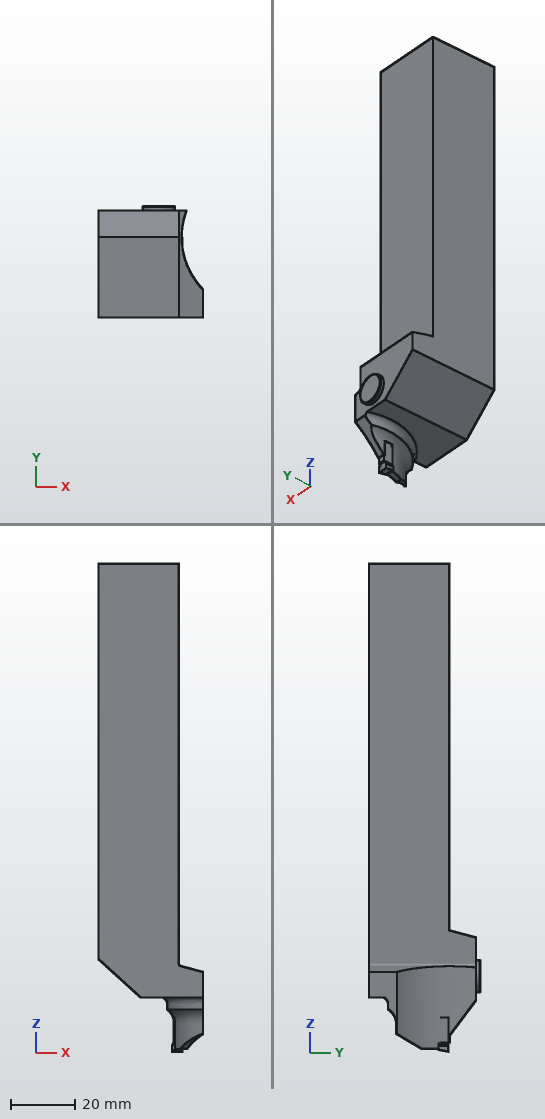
import cadquery as cq
import math


total_height = 151.4
shank_side = 25.0
head_width = 32.5
head_depth = 33.3
head_bottom = 16.8
shoulder_slope = math.tan(math.radians(15))
side_shoulder_z = 26.8
side_shoulder_fillet = 0.8
back_shoulder_z = 37.7
corner_cut_width = 13.2
corner_cut_height = 12.0

arc_center_y = shank_side
relief_radius = 23.3
relief_center_x = 49.2
blade_radius = 19.7
blade_center_x = 43.1
collar_radius = 21.8
collar_bottom = 13.2
collar_top = 14.8
root_radius = 23.0
neck_fillet_bottom = 9.0
blade_bottom = 0.9
blade_front_y = 16.3
blade_side_y = 8.0
blade_side_z = 5.9
slope_back_y = head_depth
slope_back_z = 16.0
slope_tip_y = 25.1
slope_tip_z = 5.1

insert_front_y = 21.6
insert_back_y = 24.7
insert_top = 10.6
insert_left_x = 23.3
insert_right_x = 25.7
edge_overhang = 0.5
edge_height = 1.8
edge_taper_top = 2.9
clearance_rise = 0.6
chip_former_depth = slope_tip_y - insert_back_y

screw_diameter = 10.0
screw_height = 1.4
screw_chamfer = 0.3
screw_x = 18.8
screw_z = 23.5


def extrude_along_y(points, depth):
    """Extrude an (x, z) outline from y = 0 toward +Y."""
    return cq.Workplane("XZ").polyline(points).close().extrude(-depth)


def extrude_along_x(points, start, end):
    """Extrude a (y, z) outline between two x positions."""
    return cq.Workplane("YZ", origin=(start, 0, 0)).polyline(points).close().extrude(end - start)


def make_shank_and_head():
    side_drop = (head_width - shank_side) * shoulder_slope
    back_drop = (head_depth - shank_side) * shoulder_slope
    front_outline = [
        (0, total_height),
        (shank_side, total_height),
        (shank_side, side_shoulder_z),
        (head_width, side_shoulder_z - side_drop),
        (head_width, head_bottom),
        (corner_cut_width, head_bottom),
        (0, head_bottom + corner_cut_height),
    ]
    side_outline = [
        (0, total_height),
        (shank_side, total_height),
        (shank_side, back_shoulder_z),
        (head_depth, back_shoulder_z - back_drop),
        (head_depth, 0),
        (0, 0),
    ]
    body = extrude_along_y(front_outline, head_depth)
    shoulder_corner = cq.selectors.NearestToPointSelector((shank_side, head_depth / 2, side_shoulder_z))
    body = body.edges(shoulder_corner).fillet(side_shoulder_fillet)
    return body.intersect(extrude_along_x(side_outline, 0, head_width))


def make_blade():
    """Round post with a flared root, trimmed to the blade's outline as seen along X."""
    def flare_mid(radius_low, z_low, radius_high, z_high):
        """Middle point of a flare arc that is tangent to the vertical wall below it."""
        run = radius_high - radius_low
        rise = z_high - z_low
        arc_radius = (run**2 + rise**2) / (2 * run)
        half_angle = math.atan2(run, rise)
        return (
            radius_low + arc_radius * (1 - math.cos(half_angle)),
            z_low + arc_radius * math.sin(half_angle),
        )

    post = (
        cq.Workplane("XZ", origin=(blade_center_x, arc_center_y, 0))
        .moveTo(0, 0)
        .lineTo(blade_radius, 0)
        .lineTo(blade_radius, neck_fillet_bottom)
        .threePointArc(
            flare_mid(blade_radius, neck_fillet_bottom, collar_radius, collar_bottom),
            (collar_radius, collar_bottom),
        )
        .lineTo(collar_radius, collar_top)
        .threePointArc(
            flare_mid(collar_radius, collar_top, root_radius, head_bottom),
            (root_radius, head_bottom),
        )
        .lineTo(0, head_bottom)
        .close()
        .revolve(360, (0, 0), (0, 1))
    )
    outline = [
        (0, head_bottom),
        (0, blade_side_z),
        (blade_side_y, blade_side_z),
        (blade_front_y, blade_bottom),
        (insert_back_y, blade_bottom),
        (insert_back_y, slope_tip_z),
        (slope_tip_y, slope_tip_z),
        (slope_back_y, slope_back_z),
        (slope_back_y, head_bottom),
    ]
    return post.intersect(extrude_along_x(outline, 0, head_width))


def make_relief():
    """Cylinder that hollows the +X side of the head and blade."""
    return (
        cq.Workplane("XY", origin=(relief_center_x, arc_center_y, 0))
        .circle(relief_radius)
        .extrude(back_shoulder_z)
    )


def make_screw_head():
    return (
        cq.Workplane("XZ", origin=(screw_x, head_depth, screw_z))
        .circle(screw_diameter / 2)
        .extrude(-screw_height)
        .faces(">Y")
        .chamfer(screw_chamfer)
    )


def make_insert():
    """Upright bar with a wider cutting edge and a raised chip former."""
    edge_left = insert_left_x - edge_overhang
    edge_right = insert_right_x + edge_overhang
    front_outline = [
        (edge_left, 0),
        (edge_right, 0),
        (edge_right, edge_height),
        (insert_right_x, edge_taper_top),
        (insert_right_x, insert_top),
        (insert_left_x, insert_top),
        (insert_left_x, edge_taper_top),
        (edge_left, edge_height),
    ]
    side_outline = [
        (insert_back_y, 0),
        (insert_back_y, edge_taper_top),
        (insert_back_y + chip_former_depth, edge_taper_top),
        (insert_back_y + chip_former_depth, slope_tip_z),
        (insert_back_y, slope_tip_z),
        (insert_back_y, insert_top),
        (insert_front_y, insert_top),
        (insert_front_y, clearance_rise),
    ]
    bar = extrude_along_y(front_outline, head_depth)
    return bar.intersect(extrude_along_x(side_outline, edge_left, edge_right))


insert = make_insert()
holder = (
    make_shank_and_head()
    .union(make_blade())
    .cut(make_relief())
    .union(make_screw_head())
    .cut(insert)
)

result = cq.Compound.makeCompound([holder.val(), insert.val()])